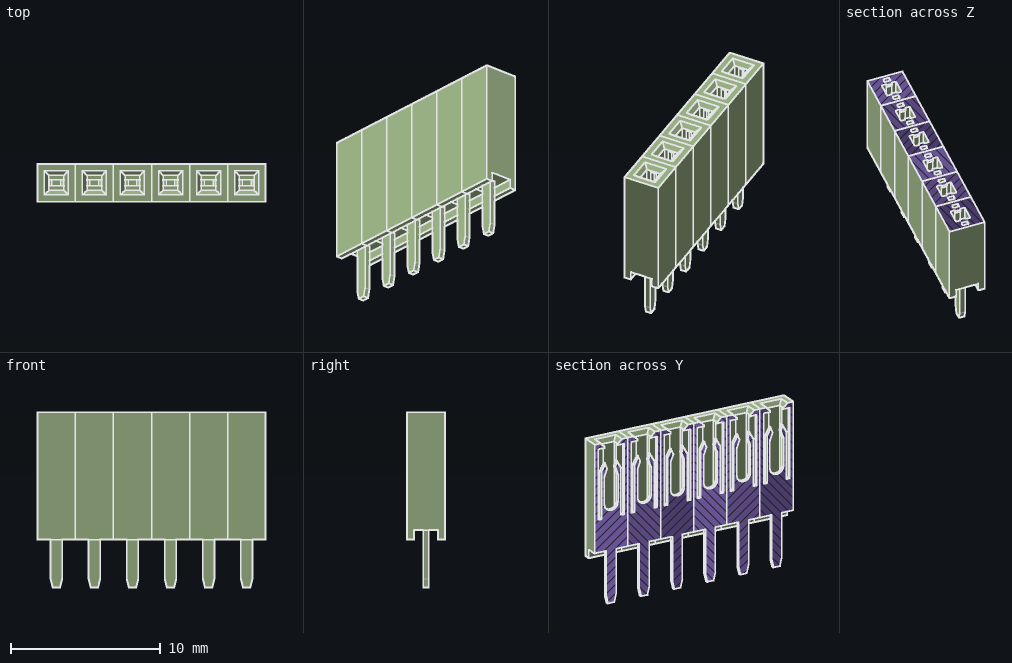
import cadquery as cq
import math


MODULE_COUNT = 6
STRIP_LENGTH = 15.24
PITCH = STRIP_LENGTH / MODULE_COUNT
HOUSING_HEIGHT = 8.5
FOOT_WIDTH = 0.47
FOOT_HEIGHT = 0.62

POCKET_WIDTH = 0.99
POCKET_DEPTH = 5.49
FUNNEL_DEPTH = 0.3
FUNNEL_WIDTH = POCKET_WIDTH + 2 * FUNNEL_DEPTH
POCKET_FLOOR = HOUSING_HEIGHT - POCKET_DEPTH

SLOT_WIDTH = 1.98
SLOT_LIP = 0.1
SLOT_TOP = HOUSING_HEIGHT - FUNNEL_DEPTH - SLOT_LIP

CONTACT_THICKNESS = 0.4
FORK_WIDTH = 1.52
FORK_RECESS = 1.52
FORK_TOP = HOUSING_HEIGHT - FORK_RECESS
THROAT_WIDTH = 0.6
TIP_GAP = 0.91
LEAD_IN_ANGLE = 69.0
TIP_ANGLE = 61.0
NOTCH_RADIUS = 0.5
NOTCH_FLOOR = POCKET_FLOOR + NOTCH_RADIUS

PIN_WIDTH = 0.8
PIN_LENGTH = 3.2
PIN_TIP_WIDTH = 0.5
PIN_TIP_LENGTH = 0.6


def centred_box(size_x, size_y, bottom, top):
    """Box centred on X and Y between two heights."""
    return cq.Workplane("XY", origin=(0, 0, bottom)).rect(size_x, size_y).extrude(top - bottom)


def contact_plate(outline):
    """Thicken a closed XZ outline to the contact thickness, centred on Y."""
    return outline.close().extrude(CONTACT_THICKNESS / 2, both=True)


def make_housing():
    """Square cell with a channel underneath, a funnelled pocket and the fork slot."""
    cell = centred_box(PITCH, PITCH, 0, HOUSING_HEIGHT)
    channel = centred_box(PITCH, PITCH - 2 * FOOT_WIDTH, 0, FOOT_HEIGHT)
    pocket = centred_box(POCKET_WIDTH, POCKET_WIDTH, POCKET_FLOOR, HOUSING_HEIGHT)
    funnel = (
        cq.Workplane("XY", origin=(0, 0, HOUSING_HEIGHT - FUNNEL_DEPTH))
        .rect(POCKET_WIDTH, POCKET_WIDTH)
        .workplane(offset=FUNNEL_DEPTH)
        .rect(FUNNEL_WIDTH, FUNNEL_WIDTH)
        .loft(ruled=True)
    )
    slot = centred_box(SLOT_WIDTH, CONTACT_THICKNESS, POCKET_FLOOR, SLOT_TOP)
    return cell.cut(channel).cut(pocket).cut(funnel).cut(slot)


def make_fork():
    """Two tines with bevelled tips, a narrow throat and a round-bottomed gap below it."""
    fork_half = FORK_WIDTH / 2
    tip_half = TIP_GAP / 2
    throat_half = THROAT_WIDTH / 2
    lead_in_slope = math.tan(math.radians(LEAD_IN_ANGLE))
    shoulder_z = FORK_TOP - (fork_half - tip_half) * math.tan(math.radians(TIP_ANGLE))
    throat_z = FORK_TOP - (tip_half - throat_half) * lead_in_slope
    relief_z = throat_z - (NOTCH_RADIUS - throat_half) * lead_in_slope
    arc_z = NOTCH_FLOOR + NOTCH_RADIUS
    return contact_plate(
        cq.Workplane("XZ")
        .moveTo(-fork_half, POCKET_FLOOR)
        .lineTo(-fork_half, shoulder_z)
        .lineTo(-tip_half, FORK_TOP)
        .lineTo(-throat_half, throat_z)
        .lineTo(-NOTCH_RADIUS, relief_z)
        .lineTo(-NOTCH_RADIUS, arc_z)
        .threePointArc((0, NOTCH_FLOOR), (NOTCH_RADIUS, arc_z))
        .lineTo(NOTCH_RADIUS, relief_z)
        .lineTo(throat_half, throat_z)
        .lineTo(tip_half, FORK_TOP)
        .lineTo(fork_half, shoulder_z)
        .lineTo(fork_half, POCKET_FLOOR)
    )


def make_pin():
    """Flat pin from the housing channel down to a tip tapered on its two narrow sides."""
    pin_half = PIN_WIDTH / 2
    tip_half = PIN_TIP_WIDTH / 2
    taper_z = PIN_TIP_LENGTH - PIN_LENGTH
    return contact_plate(
        cq.Workplane("XZ")
        .moveTo(-pin_half, FOOT_HEIGHT)
        .lineTo(-pin_half, taper_z)
        .lineTo(-tip_half, -PIN_LENGTH)
        .lineTo(tip_half, -PIN_LENGTH)
        .lineTo(pin_half, taper_z)
        .lineTo(pin_half, FOOT_HEIGHT)
    )


def make_module():
    """One housing cell fused with its contact."""
    return make_housing().union(make_fork()).union(make_pin())


module = make_module()
modules = []
for index in range(MODULE_COUNT):
    offset = (index - (MODULE_COUNT - 1) / 2) * PITCH
    modules.append(module.translate((offset, 0, 0)).val())

result = cq.Compound.makeCompound(modules)